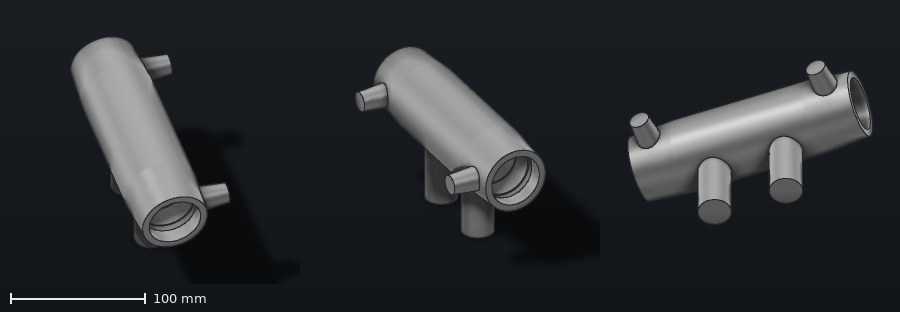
import cadquery as cq

LENGTH = 176.0
BODY_DIAMETER = 56.0
END_DIAMETER = 50.5
TAPER_LENGTH = 35.0

BORE_DIAMETER = 38.0
SOCKET_DIAMETER = 40.0
SOCKET_DEPTH = TAPER_LENGTH
GROOVE_DIAMETER = 42.0
GROOVE_START = 12.0
GROOVE_WIDTH = 6.25

PEG_DIAMETER = 25.0
PEG_OFFSET = 28.5
PEG_REACH = 72.0

STUB_TIP_DIAMETER = 15.3
STUB_BASE_DIAMETER = 18.8
STUB_OFFSET = 70.5
STUB_REACH = 46.0
STUB_BASE_REACH = 25.0

HALF_LENGTH = LENGTH / 2
HALF_STRAIGHT = HALF_LENGTH - TAPER_LENGTH


def make_sleeve():
    """Solid body of revolution: straight middle with a cone at each end."""
    body_radius = BODY_DIAMETER / 2
    end_radius = END_DIAMETER / 2
    profile = [
        (-HALF_LENGTH, 0),
        (-HALF_LENGTH, end_radius),
        (-HALF_STRAIGHT, body_radius),
        (HALF_STRAIGHT, body_radius),
        (HALF_LENGTH, end_radius),
        (HALF_LENGTH, 0),
    ]
    return cq.Workplane("XY").polyline(profile).close().revolve(360, (0, 0, 0), (1, 0, 0))


def x_cylinder(diameter, start, end):
    """Round solid on the sleeve axis between two X positions."""
    return cq.Workplane("YZ", origin=(start, 0, 0)).circle(diameter / 2).extrude(end - start)


def make_bore():
    """Through bore plus the socket and its groove at each end."""
    bore = x_cylinder(BORE_DIAMETER, -HALF_LENGTH, HALF_LENGTH)
    groove_outer = HALF_LENGTH - GROOVE_START
    for side in (-1, 1):
        socket = x_cylinder(SOCKET_DIAMETER, side * HALF_LENGTH, side * (HALF_LENGTH - SOCKET_DEPTH))
        groove = x_cylinder(GROOVE_DIAMETER, side * groove_outer, side * (groove_outer - GROOVE_WIDTH))
        bore = bore.union(socket).union(groove)
    return bore


def make_peg(x):
    """Straight round peg from the sleeve axis down to its lower end."""
    return cq.Workplane("XY", origin=(x, 0, 0)).circle(PEG_DIAMETER / 2).extrude(-PEG_REACH)


def make_stub(x):
    """Cone along +Y whose wide end is buried in the sleeve wall or removed later by the bore."""
    slope = (STUB_BASE_DIAMETER - STUB_TIP_DIAMETER) / 2 / (STUB_REACH - STUB_BASE_REACH)
    tip_radius = STUB_TIP_DIAMETER / 2
    root_radius = tip_radius + slope * STUB_REACH
    root = cq.Vector(x, 0, 0)
    outward = cq.Vector(0, 1, 0)
    return cq.Workplane(cq.Solid.makeCone(root_radius, tip_radius, STUB_REACH, root, outward))


result = make_sleeve()
for side in (-1, 1):
    result = result.union(make_peg(side * PEG_OFFSET))
    result = result.union(make_stub(side * STUB_OFFSET))
result = result.cut(make_bore())